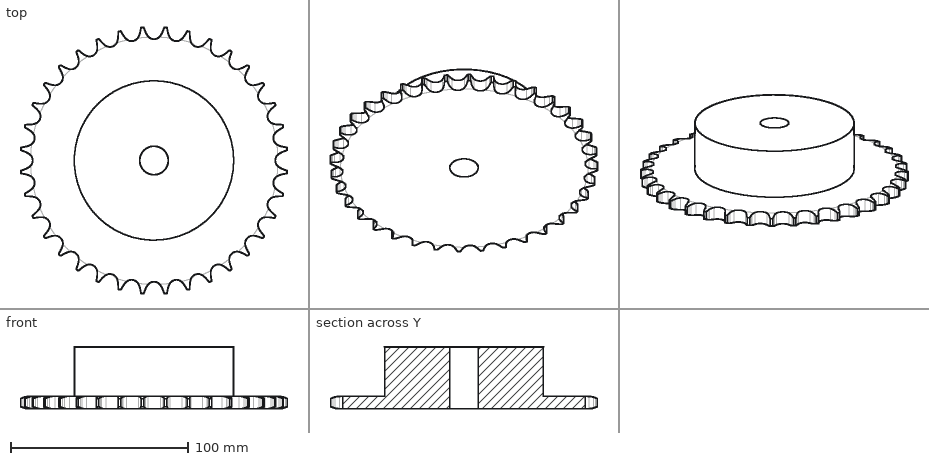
import cadquery as cq
import math

tooth_count = 36
chain_pitch = 12.7
roller_diameter = 8.51
outside_diameter = 151.0
plate_thickness = 7.2
hub_diameter = 90.0
overall_height = 35.0
bore_diameter = 16.0
relief_radius = 13.0
relief_depth = 1.3

half_tooth_angle = math.radians(180.0 / tooth_count)
pitch_radius = chain_pitch / (2 * math.sin(half_tooth_angle))
outside_radius = outside_diameter / 2

form_clearance = 0.0381
seat_radius = 0.5025 * roller_diameter + form_clearance
seat_angle = math.radians(35 + 60 / tooth_count)
working_angle = math.radians(18 - 56 / tooth_count)
working_center_offset = 0.8 * roller_diameter
topping_center_offset = 1.4 * roller_diameter
working_radius = seat_radius + working_center_offset
topping_angle = math.radians(17 - 64 / tooth_count)
flank_length = (topping_center_offset * math.sin(topping_angle)
                - working_center_offset * math.sin(working_angle))


def point_from(center, radius, angle):
    """Point at a polar distance and angle (radians) from a centre."""
    return center[0] + radius * math.cos(angle), center[1] + radius * math.sin(angle)


def mirrored(point):
    """Same point on the other side of the gap's centre line."""
    return -point[0], point[1]


def gap_cutter():
    """Space between two teeth, centred on +Y and running out past the tooth tips."""
    seat_center = (0, pitch_radius)
    seat_bottom = (0, pitch_radius - seat_radius)
    seat_end = point_from(seat_center, seat_radius, -seat_angle)

    working_center = point_from(seat_center, working_center_offset, math.pi - seat_angle)
    flank_angle = seat_angle - working_angle
    working_mid = point_from(working_center, working_radius, -(seat_angle + flank_angle) / 2)
    working_end = point_from(working_center, working_radius, -flank_angle)
    flank_end = point_from(working_end, flank_length, math.pi / 2 - flank_angle)

    topping_center = point_from(seat_center, topping_center_offset, -half_tooth_angle)
    start_x = flank_end[0] - topping_center[0]
    start_y = flank_end[1] - topping_center[1]
    topping_radius = math.hypot(start_x, start_y)
    start_angle = math.atan2(start_y, start_x)

    center_distance = math.hypot(*topping_center)
    center_bearing = math.atan2(topping_center[1], topping_center[0])
    cosine = ((outside_radius**2 - center_distance**2 - topping_radius**2)
              / (2 * center_distance * topping_radius))
    tip_angle = center_bearing + math.acos(cosine)
    topping_mid = point_from(topping_center, topping_radius, (start_angle + tip_angle) / 2)
    tip = point_from(topping_center, topping_radius, tip_angle)
    past_tip = (tip[0], outside_radius + seat_radius)

    return (
        cq.Workplane("XY")
        .moveTo(*mirrored(seat_end))
        .threePointArc(seat_bottom, seat_end)
        .threePointArc(working_mid, working_end)
        .lineTo(*flank_end)
        .threePointArc(topping_mid, tip)
        .lineTo(*past_tip)
        .lineTo(*mirrored(past_tip))
        .lineTo(*mirrored(tip))
        .threePointArc(mirrored(topping_mid), mirrored(flank_end))
        .lineTo(*mirrored(working_end))
        .threePointArc(mirrored(working_mid), mirrored(seat_end))
        .close()
        .extrude(plate_thickness)
    )


def relieved_disc():
    """Plate blank whose two faces curve in towards the rim, tangent to the flat faces."""
    sweep = math.acos(1 - relief_depth / relief_radius)
    flat_radius = outside_radius - relief_radius * math.sin(sweep)
    half_sweep = sweep / 2
    mid_radius = flat_radius + relief_radius * math.sin(half_sweep)
    mid_depth = relief_radius * (1 - math.cos(half_sweep))
    return (
        cq.Workplane("XZ")
        .lineTo(flat_radius, 0)
        .threePointArc((mid_radius, mid_depth), (outside_radius, relief_depth))
        .lineTo(outside_radius, plate_thickness - relief_depth)
        .threePointArc((mid_radius, plate_thickness - mid_depth), (flat_radius, plate_thickness))
        .lineTo(0, plate_thickness)
        .close()
        .revolve(360, (0, 0, 0), (0, 1, 0))
    )


def toothed_plate():
    plate = relieved_disc()
    gap = gap_cutter().val()
    tooth_step = 360.0 / tooth_count
    gaps = [gap.rotate((0, 0, 0), (0, 0, 1), i * tooth_step) for i in range(tooth_count)]
    return plate.cut(cq.Workplane(cq.Compound.makeCompound(gaps)))


def hub():
    return (
        cq.Workplane("XY", origin=(0, 0, plate_thickness))
        .circle(hub_diameter / 2)
        .extrude(overall_height - plate_thickness)
    )


def bore():
    return cq.Workplane("XY").circle(bore_diameter / 2).extrude(overall_height)


result = toothed_plate().union(hub()).cut(bore())